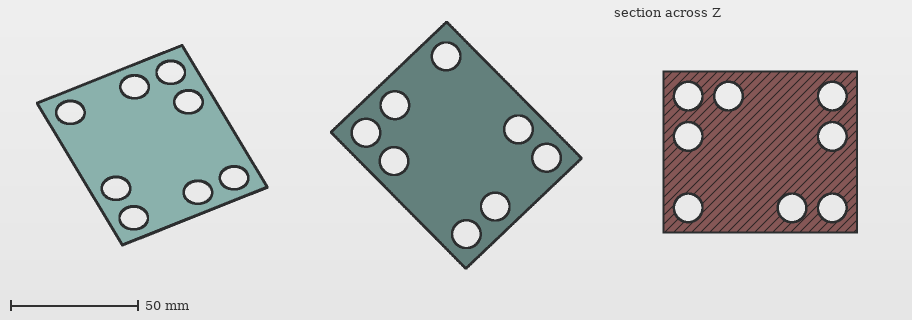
import cadquery as cq

length = 76.2
width = 63.5
thickness = 0.5

hole_diameter = 11.2
corner_inset = 9.75
hole_pitch = 15.85

corner_x = length / 2 - corner_inset
corner_y = width / 2 - corner_inset

corner_holes = [(x, y) for x in (-corner_x, corner_x) for y in (-corner_y, corner_y)]
neighbour_holes = [
    (-corner_x + hole_pitch, corner_y),
    (-corner_x, corner_y - hole_pitch),
    (corner_x, corner_y - hole_pitch),
    (corner_x - hole_pitch, -corner_y),
]

plate = cq.Workplane("XY").box(length, width, thickness)

result = (
    plate.faces(">Z")
    .workplane(origin=(0, 0, 0))
    .pushPoints(corner_holes + neighbour_holes)
    .hole(hole_diameter)
)